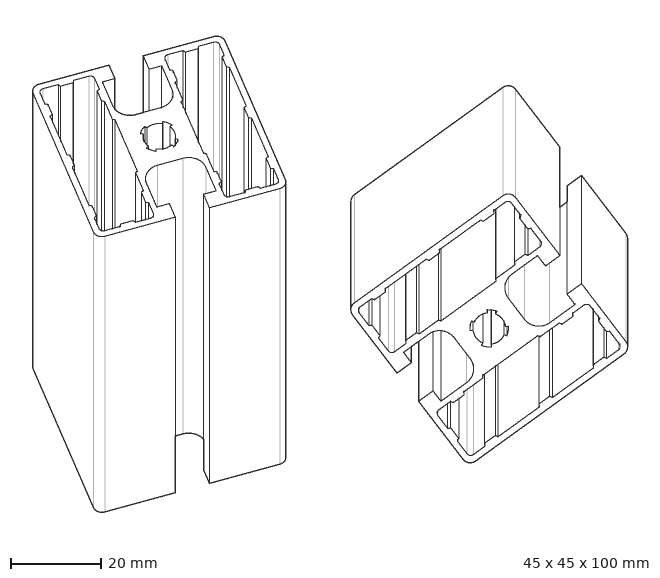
import cadquery as cq
import math

side = 45.0
length = 100.0
outer_radius = 2.0
half_side = side / 2

slot_opening = 8.0
slot_height = 13.9
lip_depth = 4.0
core_width = 15.0
core_flat = 6.0
slot_radius = 4.0

wall = 1.5
web = 1.3
chamber_radius = 1.0
chamber_width = side - 2 * wall
chamber_outer = half_side - wall
chamber_inner = slot_height / 2 + web
chamber_height = chamber_outer - chamber_inner
chamber_middle = (chamber_outer + chamber_inner) / 2

recess_mouth = 15.8
recess_floor = 15.2
recess_depth = 0.5

pad_base = 3.6
pad_top = 3.0
pad_height = 0.6
pad_offset = 15.0

bore_diameter = 7.2
relief_diameter = 8.5
relief_angle = 30.0


def bar(width, height, x=0.0, y=0.0):
    """Full-length rectangular bar centred on (x, y)."""
    return cq.Workplane("XY").center(x, y).rect(width, height).extrude(length)


def ridge(base, top, height, x, y, facing):
    """Full-length trapezoidal bar standing on (x, y), rising in the direction given in degrees."""
    points = [(0, -base / 2), (height, -top / 2), (height, top / 2), (0, base / 2)]
    profile = cq.Workplane("XY").polyline(points).close().extrude(length)
    return profile.rotate((0, 0, 0), (0, 0, 1), facing).translate((x, y, 0))


def slot():
    """T-slot entering from the +X face."""
    core_x = core_width / 2
    lip_x = half_side - lip_depth
    half_height = slot_height / 2
    half_opening = slot_opening / 2
    half_flat = core_flat / 2
    sweep = math.acos(1 - (half_height - half_flat) / slot_radius)
    arc_start_x = core_x + slot_radius * math.sin(sweep)
    arc_mid_x = arc_start_x - slot_radius * math.sin(sweep / 2)
    arc_mid_y = half_height - slot_radius * (1 - math.cos(sweep / 2))
    return (
        cq.Workplane("XY")
        .moveTo(half_side, -half_opening)
        .lineTo(half_side, half_opening)
        .lineTo(lip_x, half_opening)
        .lineTo(lip_x, half_height)
        .lineTo(arc_start_x, half_height)
        .threePointArc((arc_mid_x, arc_mid_y), (core_x, half_flat))
        .lineTo(core_x, -half_flat)
        .threePointArc((arc_mid_x, -arc_mid_y), (arc_start_x, -half_height))
        .lineTo(lip_x, -half_height)
        .lineTo(lip_x, -half_opening)
        .close()
        .extrude(length)
    )


def chamber():
    """Hollow on the +Y side, with its recess and pads."""
    half_width = chamber_width / 2
    hollow = bar(chamber_width, chamber_height, 0, chamber_middle).edges("|Z").fillet(chamber_radius)
    hollow = hollow.union(ridge(recess_mouth, recess_floor, recess_depth, 0, chamber_inner, -90))
    pads = [(x, chamber_outer, -90) for x in (-pad_offset, 0, pad_offset)]
    pads += [(x, chamber_inner, 90) for x in (-pad_offset, pad_offset)]
    pads += [(-half_width, chamber_middle, 0), (half_width, chamber_middle, 180)]
    for x, y, facing in pads:
        hollow = hollow.cut(ridge(pad_base, pad_top, pad_height, x, y, facing))
    return hollow


def bore():
    """Round bore with a wider arc-shaped relief on each diagonal."""
    hole = cq.Workplane("XY").circle(bore_diameter / 2).extrude(length)
    radius = relief_diameter / 2
    half_angle = relief_angle / 2
    for middle in (45, 135, 225, 315):
        angles = [math.radians(a) for a in (middle - half_angle, middle, middle + half_angle)]
        start, mid, end = [(radius * math.cos(a), radius * math.sin(a)) for a in angles]
        relief = cq.Workplane("XY").lineTo(*start).threePointArc(mid, end).close().extrude(length)
        hole = hole.union(relief)
    return hole


result = bar(side, side).edges("|Z").fillet(outer_radius)
for cutter in (slot(), chamber()):
    result = result.cut(cutter).cut(cutter.rotate((0, 0, 0), (0, 0, 1), 180))
result = result.cut(bore())